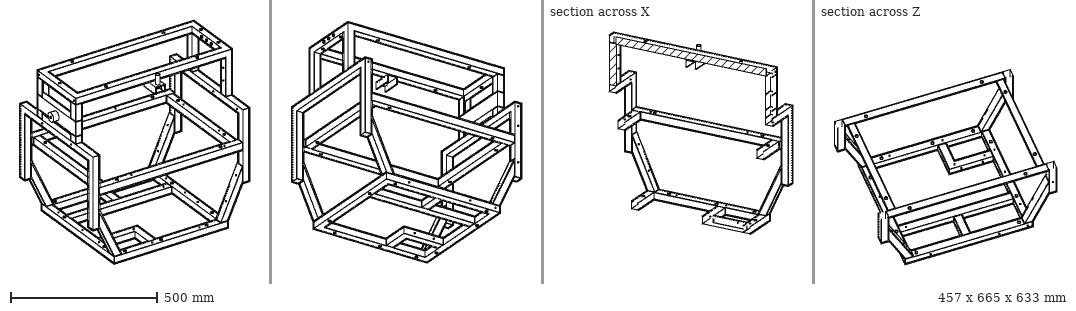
import cadquery as cq
import math

frame_width = 457.0
frame_depth = 643.0
frame_height = 625.0
bar_wide = 32.0
bar_thin = 29.0
wall = 3.0

upper_width = 242.0
shoulder_top = 445.0
upright_bottom = 155.5
base_depth = 469.0

panel_bottom = 471.5
panel_top = 532.0

mid_top = 317.0
mid_cross_offset = 272.0

leg_inner_top = 224.0
leg_ledge = 2.0
leg_inner_foot = 201.5

long_bar_left = -96.5
long_bar_right = 100.0
tie_left = -1.0
tie_right = -60.0

large_hole = 10.0
small_hole = 4.0

boss_diameter = 35.0
boss_length = 22.0
boss_hole = 8.0

bracket_width = 41.0
bracket_length = 71.0
bracket_height = 29.0
bracket_wall = 4.0

bolt_diameter = 16.5
bolt_top = 633.0
bolt_chamfer = 1.0
bolt_head_flats = 24.0
bolt_head_height = 8.5
bolt_x = 143.5

half_width = frame_width / 2
half_depth = frame_depth / 2
half_upper = upper_width / 2
half_base = base_depth / 2
inner_half_width = half_width - bar_wide
inner_half_depth = half_depth - bar_thin
inner_half_upper = half_upper - bar_wide
inner_half_base = half_base - bar_thin

upper_beam_bottom = frame_height - bar_thin
shoulder_bottom = shoulder_top - bar_thin
mid_bottom = mid_top - bar_wide
base_top = bar_thin

side_bar_x = half_width - bar_wide / 2
upper_bar_x = half_upper - bar_wide / 2
end_bar_y = half_depth - bar_thin / 2
base_bar_y = half_base - bar_thin / 2
shoulder_bar_z = shoulder_top - bar_thin / 2
upper_bar_z = frame_height - bar_thin / 2
base_bar_z = base_top / 2
small_hole_depth = bar_thin / 2
panel_z = (panel_bottom + panel_top) / 2

LEFT, RIGHT = -1, 1
FRONT, BACK = -1, 1


def block(x_range, y_range, z_range):
    """Axis-aligned block between two limits on each axis."""
    size = [abs(high - low) for low, high in (x_range, y_range, z_range)]
    corner = [min(limits) for limits in (x_range, y_range, z_range)]
    return cq.Workplane("XY").box(*size, centered=False).translate(tuple(corner))


def span(centre, size):
    """Limits of a length placed about its centre."""
    return centre - size / 2, centre + size / 2


def drill(start, direction, diameter, depth):
    """Round solid that starts at a point and runs along a direction."""
    return cq.Workplane(cq.Solid.makeCylinder(diameter / 2, depth, cq.Vector(*start), cq.Vector(*direction)))


def bar(run, x_range, y_range, z_range, capped=(True, True)):
    """Hollow bar along the run axis; an end that is not capped opens on to the bar it butts against."""
    limits = {"X": x_range, "Y": y_range, "Z": z_range}
    core_limits = []
    for axis, axis_limits in limits.items():
        low, high = sorted(axis_limits)
        close_low, close_high = capped if axis == run else (True, True)
        core_limits.append((low + wall * close_low, high - wall * close_high))
    return block(x_range, y_range, z_range), block(*core_limits)


def end_bars(end):
    """Uprights, shoulder beam and upper beam at the front or back."""
    y_range = (end * inner_half_depth, end * half_depth)
    bars = [
        bar("X", (-half_width, half_width), y_range, (shoulder_bottom, shoulder_top)),
        bar("X", (-half_upper, half_upper), y_range, (upper_beam_bottom, frame_height)),
    ]
    for side in (LEFT, RIGHT):
        upright_x = (side * inner_half_width, side * half_width)
        bars.append(bar("Z", upright_x, y_range, (upright_bottom, shoulder_top)))
    return bars


def back_posts():
    y_range = (inner_half_depth, half_depth)
    z_range = (shoulder_top, frame_height)
    return [
        bar("Z", (side * inner_half_upper, side * half_upper), y_range, z_range, (False, True))
        for side in (LEFT, RIGHT)
    ]


def front_panel_bars():
    """Cross panel of the upper box and its posts, which have no inner wall beside the two windows."""
    y_range = (-half_depth, -inner_half_depth)
    core_y = (-half_depth + wall, -inner_half_depth - wall)
    bars = [bar("X", (-half_upper, half_upper), y_range, (panel_bottom, panel_top))]
    for side in (LEFT, RIGHT):
        post_x = (side * inner_half_upper, side * half_upper)
        core_x = (side * inner_half_upper, side * (half_upper - wall))
        for z_range in ((shoulder_top, panel_bottom), (panel_top, upper_beam_bottom)):
            bars.append((block(post_x, y_range, z_range), block(core_x, core_y, z_range)))
    return bars


def upper_rails():
    y_range = (-half_depth, half_depth)
    z_range = (upper_beam_bottom, frame_height)
    return [bar("Y", (side * inner_half_upper, side * half_upper), y_range, z_range) for side in (LEFT, RIGHT)]


def middle_bars():
    """Two side bars between the uprights and two cross bars between the side bars."""
    z_range = (mid_bottom, mid_top)
    open_ends = (False, False)
    bars = []
    for side in (LEFT, RIGHT):
        x_range = (side * inner_half_width, side * half_width)
        bars.append(bar("Y", x_range, (-inner_half_depth, inner_half_depth), z_range, open_ends))
    for end in (FRONT, BACK):
        y_range = span(end * mid_cross_offset, bar_thin)
        bars.append(bar("X", (-inner_half_width, inner_half_width), y_range, z_range, open_ends))
    return bars


def base_bars():
    """Base rectangle with an inner bar and a tie on each side."""
    z_range = (0, base_top)
    open_ends = (False, False)
    bars = []
    for end in (FRONT, BACK):
        bars.append(bar("X", (-half_width, half_width), (end * inner_half_base, end * half_base), z_range))
    for side in (LEFT, RIGHT):
        bars.append(bar("Y", (side * inner_half_width, side * half_width), (-half_base, half_base), z_range))

    left_x = span(long_bar_left, bar_wide)
    right_x = span(long_bar_right, bar_wide)
    left_tie_y = span(tie_left, bar_wide)
    right_tie_y = span(tie_right, bar_wide)
    bars.append(bar("Y", left_x, (-inner_half_base, inner_half_base), z_range, open_ends))
    bars.append(bar("X", (-inner_half_width, left_x[0]), left_tie_y, z_range, open_ends))
    bars.append(bar("Y", right_x, (-inner_half_base, right_tie_y[1]), z_range, (False, True)))
    bars.append(bar("X", (right_x[0], inner_half_width), right_tie_y, z_range, (True, False)))
    return bars


def leg_prism(outline, end, x_range):
    """Prism along X whose outline is given as (distance from the middle, height) points."""
    left, right = sorted(x_range)
    points = [(end * y, z) for y, z in outline]
    return cq.Workplane("YZ").polyline(points).close().extrude(right - left).translate((left, 0, 0))


def sloping_leg(side, end):
    """Leg that leads from the lower end of an upright in to the base."""
    outline = [
        (inner_half_depth, upright_bottom),
        (half_base, base_top),
        (leg_inner_foot, base_top),
        (inner_half_depth - leg_ledge, leg_inner_top),
        (inner_half_depth, leg_inner_top),
    ]
    slope = math.atan2(inner_half_depth - leg_ledge - leg_inner_foot, leg_inner_top - base_top)
    level_wall = wall / math.cos(slope)
    upright_wall = wall / math.sin(slope)
    core_outline = [
        (inner_half_depth, upright_bottom + upright_wall),
        (half_base - level_wall, base_top),
        (leg_inner_foot + level_wall, base_top),
        (inner_half_depth, leg_inner_top - upright_wall),
    ]
    leg = leg_prism(outline, end, (side * inner_half_width, side * half_width))
    core = leg_prism(core_outline, end, (side * (inner_half_width + wall), side * (half_width - wall)))
    return leg, core


def upper_holes():
    """Holes down through the top of the upper box and along Y through its back beam."""
    rail_hole_y = 187.0
    back_hole_x = 54.5
    row_pitch = 30.0
    places = [(side * upper_bar_x, end * rail_hole_y) for side in (LEFT, RIGHT) for end in (FRONT, BACK)]
    places += [(side * back_hole_x, end_bar_y) for side in (LEFT, RIGHT)]
    places.append((0, -end_bar_y))
    cutters = [drill((x, y, frame_height), (0, 0, -1), large_hole, bar_thin) for x, y in places]
    for step in (-1, 0, 1):
        start = (step * row_pitch, inner_half_depth, upper_bar_z)
        cutters.append(drill(start, (0, 1, 0), large_hole, bar_thin))
    return cutters


def end_frame_holes():
    """Small holes through one wall of the two end frames."""
    front_places = [(side * 110.0, upper_bar_z) for side in (LEFT, RIGHT)]
    front_places += [(side * 90.0, shoulder_bar_z) for side in (LEFT, RIGHT)]
    back_places = [(x, shoulder_bar_z) for x in (-187.5, 42.0, 190.0)]
    back_places += [(upper_bar_x, z) for z in (552.0, panel_z)]
    left_places = [(end * end_bar_y, shoulder_bar_z) for end in (FRONT, BACK)]
    left_places += [(-end_bar_y, z) for z in (354.5, 215.5)]

    cutters = [drill((x, -half_depth, z), (0, 1, 0), small_hole, small_hole_depth) for x, z in front_places]
    cutters += [drill((x, inner_half_depth, z), (0, 1, 0), small_hole, small_hole_depth) for x, z in back_places]
    cutters += [drill((-half_width, y, z), (1, 0, 0), small_hole, small_hole_depth) for y, z in left_places]
    return cutters


def middle_holes():
    """Holes in the top of the middle frame."""
    cross_hole_x = 143.5
    cross_small_hole_x = 110.5
    side_hole_y = 211.5
    large_places = []
    for side in (LEFT, RIGHT):
        for end in (FRONT, BACK):
            large_places.append((side * cross_hole_x, end * mid_cross_offset))
            large_places.append((side * side_bar_x, end * side_hole_y))
    small_places = [(-side_bar_x, y) for y in (60.5, -89.0)]
    small_places += [(side_bar_x, y) for y in (227.5, -152.0)]
    small_places += [(side * cross_small_hole_x, mid_cross_offset) for side in (LEFT, RIGHT)]

    cutters = [drill((x, y, mid_top), (0, 0, -1), large_hole, bar_wide) for x, y in large_places]
    cutters += [drill((x, y, mid_top), (0, 0, -1), small_hole, small_hole_depth) for x, y in small_places]
    return cutters


def base_holes():
    """Holes in the top of the base frame and in its left-facing sides."""
    large_places = [(x, end * base_bar_y) for x in (-103.0, 147.5) for end in (FRONT, BACK)]
    large_places += [(-side_bar_x, y) for y in (187.5, -187.5)]
    large_places += [(side_bar_x, y) for y in (155.0, -31.0, -179.5)]
    small_places = [(x, base_bar_y) for x in (-140.0, -21.0, 58.5)]
    small_places += [(x, -base_bar_y) for x in (-140.0, 9.0, 112.0)]
    small_places += [(long_bar_left, 181.5), (long_bar_right, -70.0), (long_bar_right, -179.0)]
    small_places += [(side_bar_x, y) for y in (126.0, -68.0)]

    cutters = [drill((x, y, base_top), (0, 0, -1), large_hole, bar_thin) for x, y in large_places]
    cutters += [drill((x, y, base_top), (0, 0, -1), small_hole, small_hole_depth) for x, y in small_places]
    for y in (140.0, -111.0, -214.0):
        cutters.append(drill((-half_width, y, base_bar_z), (1, 0, 0), small_hole, small_hole_depth))
    long_bar_face = long_bar_right - bar_wide / 2
    for y in (-89.0, -167.5):
        cutters.append(drill((long_bar_face, y, base_bar_z), (1, 0, 0), small_hole, small_hole_depth))
    return cutters


def leg_holes():
    """Small holes square to the inner faces of the two back legs."""
    run = inner_half_depth - leg_ledge - leg_inner_foot
    rise = leg_inner_top - base_top
    into_leg = (0, rise, -run)
    cutters = []
    for side in (LEFT, RIGHT):
        for z in (187.5, 98.5):
            y = leg_inner_foot + (z - base_top) * run / rise
            cutters.append(drill((side * side_bar_x, y, z), into_leg, small_hole, small_hole_depth))
    return cutters


def make_frame():
    bars = base_bars() + middle_bars() + front_panel_bars() + back_posts() + upper_rails()
    for end in (FRONT, BACK):
        bars += end_bars(end)
        bars += [sloping_leg(side, end) for side in (LEFT, RIGHT)]
    boss = drill((0, -half_depth, panel_z), (0, -1, 0), boss_diameter, boss_length)
    boss_bore = drill((0, -half_depth - boss_length, panel_z), (0, 1, 0), boss_hole, boss_length + wall)

    cutters = [core for _, core in bars]
    cutters += upper_holes() + end_frame_holes() + middle_holes() + base_holes() + leg_holes()
    cutters.append(boss_bore)

    frame = front_panel_bars()[0][0].union(boss)
    for outer, _ in bars:
        frame = frame.union(outer)
    for cutter in cutters:
        frame = frame.cut(cutter)
    return frame


def make_bracket():
    """Channel, open downward, fixed under the right upper rail."""
    x_range = (inner_half_upper, inner_half_upper + bracket_length)
    z_range = (upper_beam_bottom - bracket_height, upper_beam_bottom)
    bracket = block(x_range, span(0, bracket_width), z_range)
    bracket = bracket.edges("|X and >Z").fillet(bracket_wall)
    inside = block(
        x_range, span(0, bracket_width - 2 * bracket_wall), (z_range[0], z_range[1] - bracket_wall)
    )
    bolt_hole = drill((bolt_x, 0, upper_beam_bottom), (0, 0, -1), bolt_diameter, bracket_height)
    return bracket.cut(inside).cut(bolt_hole)


def make_bolt():
    """Hexagon bolt that stands up through the bracket, its head under the web."""
    seat = upper_beam_bottom - bracket_wall
    corner_diameter = bolt_head_flats / math.cos(math.radians(30))
    head = cq.Workplane("XY").polygon(6, corner_diameter).extrude(-bolt_head_height)
    head = head.rotate((0, 0, 0), (0, 0, 1), 90)
    shank = cq.Workplane("XY").circle(bolt_diameter / 2).extrude(bolt_top - seat)
    shank = shank.faces(">Z").chamfer(bolt_chamfer)
    return head.union(shank).translate((bolt_x, 0, seat))


frame = make_frame()
bracket = make_bracket()
bolt = make_bolt()

result = cq.Compound.makeCompound([frame.val(), bracket.val(), bolt.val()])